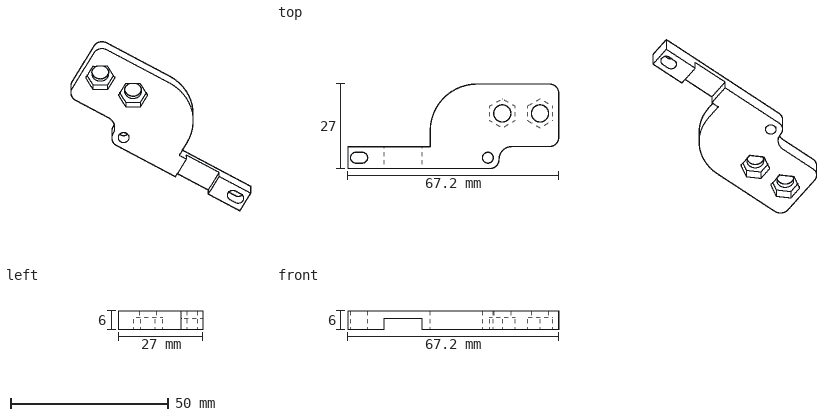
import cadquery as cq
import math

length = 67.2
width = 27.0
thickness = 6.0

arm_width = 7.0
plate_left = 26.2
large_radius = 15.0
corner_radius = 3.0
inner_radius = arm_width - corner_radius
foot_right = 48.2

large_hole_diameter = 5.4
large_hole_y = 17.6
large_hole_x = 49.2
large_hole_spacing = 12.0
large_hole_centers = [
    (large_hole_x, large_hole_y),
    (large_hole_x + large_hole_spacing, large_hole_y),
]
hexagon_sides = 6
nut_across_flats = 8.0
nut_pocket_depth = 3.9
small_hole_diameter = 3.4
small_hole_x = 44.6
slot_center_x = 3.6
slot_width = small_hole_diameter
slot_length = 5.4
arm_center_y = arm_width / 2

notch_left = 11.6
notch_length = 12.0
notch_height = 3.5


def make_plate():
    """Plate with an arm on the left; outline corners are rounded except at the arm."""
    diagonal = math.sqrt(0.5)
    step_center_x = foot_right + inner_radius
    return (
        cq.Workplane("XY")
        .lineTo(foot_right - corner_radius, 0)
        .radiusArc((foot_right, corner_radius), -corner_radius)
        .threePointArc(
            (step_center_x - inner_radius * diagonal, corner_radius + inner_radius * diagonal),
            (step_center_x, arm_width),
        )
        .lineTo(length - corner_radius, arm_width)
        .radiusArc((length, arm_width + corner_radius), -corner_radius)
        .lineTo(length, width - corner_radius)
        .radiusArc((length - corner_radius, width), -corner_radius)
        .lineTo(plate_left + large_radius, width)
        .radiusArc((plate_left, width - large_radius), -large_radius)
        .lineTo(plate_left, arm_width)
        .lineTo(0, arm_width)
        .close()
        .extrude(thickness)
    )


def cut_holes(body):
    """Two large holes in the plate, a small hole and a slot in the arm."""
    base = cq.Workplane("XY")
    large_holes = base.pushPoints(large_hole_centers).circle(large_hole_diameter / 2).extrude(thickness)
    small_hole = base.center(small_hole_x, arm_center_y).circle(small_hole_diameter / 2).extrude(thickness)
    slot = base.center(slot_center_x, arm_center_y).slot2D(slot_length, slot_width).extrude(thickness)
    return body.cut(large_holes).cut(small_hole).cut(slot)


def cut_nut_pockets(body):
    """Hexagonal nut pockets in the underside, with two flats square to X."""
    half_side_angle = 180 / hexagon_sides
    across_corners = nut_across_flats / math.cos(math.radians(half_side_angle))
    for center_x, center_y in large_hole_centers:
        pocket = (
            cq.Workplane("XY")
            .polygon(hexagon_sides, across_corners)
            .extrude(nut_pocket_depth)
            .rotate((0, 0, 0), (0, 0, 1), half_side_angle)
            .translate((center_x, center_y, 0))
        )
        body = body.cut(pocket)
    return body


def cut_notch(body):
    """Rectangular relief across the underside of the arm."""
    notch = (
        cq.Workplane("XY")
        .box(notch_length, arm_width, notch_height, centered=False)
        .translate((notch_left, 0, 0))
    )
    return body.cut(notch)


plate = make_plate()
drilled_plate = cut_holes(plate)
pocketed_plate = cut_nut_pockets(drilled_plate)
result = cut_notch(pocketed_plate)